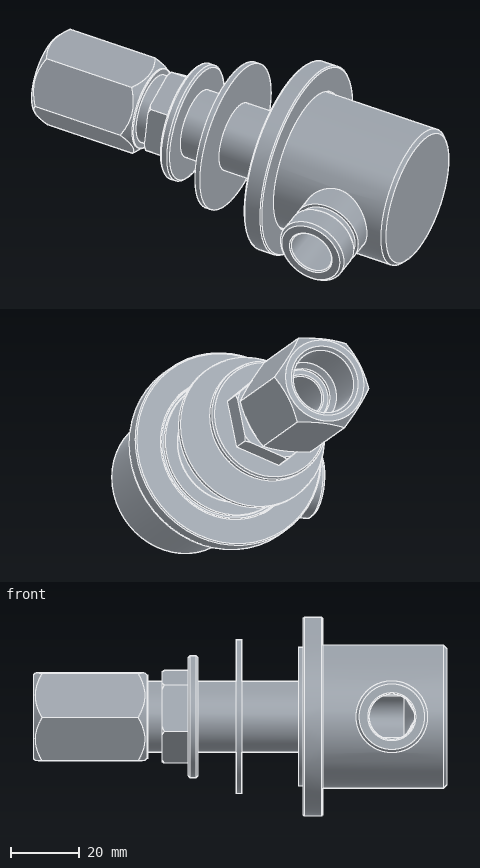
import cadquery as cq
import math

OVERALL_LENGTH = 120.51
OVERALL_WIDTH = 65.2

COUPLING_LENGTH = 33.45
COUPLING_FLATS = 25.5
COUPLING_TILT = 1.0
COUPLING_FACE_RADIUS = 12.2
COUPLING_MOUTH_RADIUS = 10.4
COUPLING_BORE_RADIUS = 9.4
COUPLING_BORE_DEPTH = 15.0
COUPLING_SEAT_RADIUS = 7.9
COUPLING_COLLAR_RADIUS = 12.2
COUPLING_COLLAR_LENGTH = 0.4

TUBE_RADIUS = 10.4
TUBE_BORE_RADIUS = 6.1
TUBE_BORE_CHAMFER = 0.4
TUBE_START = 18.0
TUBE_END = 92.0

LOCKNUT_START = 37.45
LOCKNUT_FLATS = 24.0
LOCKNUT_TILT = 18.0
LOCKNUT_CHAMFER = 0.7

CLAMP_WASHER_START = 45.0
CLAMP_WASHER_THICKNESS = 3.0
CLAMP_WASHER_RADIUS = 17.8
CLAMP_WASHER_CHAMFER = 0.6

FLAT_WASHER_START = 59.05
FLAT_WASHER_THICKNESS = 1.65
FLAT_WASHER_RADIUS = 22.45

GASKET_START = 77.2
GASKET_RADIUS = 20.25

PLATE_START = 78.5
PLATE_END = 84.3
PLATE_RADIUS = 29.0
PLATE_CLEARANCE = 0.4
PLATE_CHAMFER = 0.4

BODY_START = PLATE_START
BODY_RADIUS = 20.9
BODY_CHAMFER = 1.1
SPIGOT_RADIUS = 16.4
SPIGOT_SETBACK = 0.3
BODY_BORE_END = 108.0
DRILL_POINT_ANGLE = 118.0

OUTLET_X = 104.4
OUTLET_RADIUS = 10.45
OUTLET_SEAT = 15.0
OUTLET_END = OVERALL_WIDTH - PLATE_RADIUS
OUTLET_CHAMFER = 0.9
OUTLET_BORE_RADIUS = 6.6
OUTLET_BORE_CHAMFER = 0.4
GROOVE_RADIUS = 9.4
GROOVE_START = 26.35
GROOVE_WIDTH = 1.75
GROOVE_SLOPE = 1.05


def cylinder(radius, start, end):
    """Round bar along X."""
    return cq.Workplane("YZ", origin=(start, 0, 0)).circle(radius).extrude(end - start)


def ring(outer_radius, inner_radius, start, end):
    """Flat ring around the X axis."""
    return cylinder(outer_radius, start, end).cut(cylinder(inner_radius, start, end))


def revolve_about_x(points):
    """Solid of revolution from (x, radius) points."""
    return cq.Workplane("XY").polyline(points).close().revolve(360, (0, 0, 0), (1, 0, 0))


def hexagon(flats, tilt, start, end):
    """Hexagonal bar along X, turned about X from having corners on the Y axis."""
    corner_diameter = flats / math.cos(math.pi / 6)
    bar = cq.Workplane("YZ", origin=(start, 0, 0)).polygon(6, corner_diameter).extrude(end - start)
    return bar.rotate((0, 0, 0), (1, 0, 0), tilt)


def make_coupling():
    corner_radius = COUPLING_FLATS / 2 / math.cos(math.pi / 6)
    face_chamfer = corner_radius - COUPLING_FACE_RADIUS
    hex_end = COUPLING_LENGTH - COUPLING_COLLAR_LENGTH
    chamfered_bar = revolve_about_x([
        (0, 0),
        (0, COUPLING_FACE_RADIUS),
        (face_chamfer, corner_radius),
        (hex_end - face_chamfer, corner_radius),
        (hex_end, COUPLING_COLLAR_RADIUS),
        (COUPLING_LENGTH, COUPLING_COLLAR_RADIUS),
        (COUPLING_LENGTH, 0),
    ])
    outside = hexagon(COUPLING_FLATS, COUPLING_TILT, 0, COUPLING_LENGTH).intersect(chamfered_bar)
    mouth_chamfer = COUPLING_MOUTH_RADIUS - COUPLING_BORE_RADIUS
    seat_length = COUPLING_BORE_RADIUS - COUPLING_SEAT_RADIUS
    bore = revolve_about_x([
        (0, 0),
        (0, COUPLING_MOUTH_RADIUS),
        (mouth_chamfer, COUPLING_BORE_RADIUS),
        (COUPLING_BORE_DEPTH, COUPLING_BORE_RADIUS),
        (COUPLING_BORE_DEPTH + seat_length, COUPLING_SEAT_RADIUS),
        (TUBE_START, COUPLING_SEAT_RADIUS),
        (TUBE_START, TUBE_RADIUS),
        (COUPLING_LENGTH, TUBE_RADIUS),
        (COUPLING_LENGTH, 0),
    ])
    return outside.cut(bore)


def make_tube():
    tube = ring(TUBE_RADIUS, TUBE_BORE_RADIUS, TUBE_START, TUBE_END)
    bore_mouth = tube.faces("<X").edges(cq.selectors.RadiusNthSelector(0))
    return bore_mouth.chamfer(TUBE_BORE_CHAMFER)


def make_locknut():
    corner_radius = LOCKNUT_FLATS / 2 / math.cos(math.pi / 6)
    nut = hexagon(LOCKNUT_FLATS, LOCKNUT_TILT, LOCKNUT_START, CLAMP_WASHER_START)
    envelope = cylinder(corner_radius, LOCKNUT_START, CLAMP_WASHER_START)
    envelope = envelope.faces("<X").chamfer(LOCKNUT_CHAMFER)
    return nut.intersect(envelope).cut(cylinder(TUBE_RADIUS, LOCKNUT_START, CLAMP_WASHER_START))


def make_clamp_washer():
    end = CLAMP_WASHER_START + CLAMP_WASHER_THICKNESS
    disc = cylinder(CLAMP_WASHER_RADIUS, CLAMP_WASHER_START, end)
    disc = disc.edges().chamfer(CLAMP_WASHER_CHAMFER)
    return disc.cut(cylinder(TUBE_RADIUS, CLAMP_WASHER_START, end))


def make_flat_washer():
    end = FLAT_WASHER_START + FLAT_WASHER_THICKNESS
    return ring(FLAT_WASHER_RADIUS, TUBE_RADIUS, FLAT_WASHER_START, end)


def make_gasket():
    return ring(GASKET_RADIUS, SPIGOT_RADIUS, GASKET_START, BODY_START)


def make_plate():
    disc = cylinder(PLATE_RADIUS, PLATE_START, PLATE_END).edges().chamfer(PLATE_CHAMFER)
    return disc.cut(cylinder(BODY_RADIUS + PLATE_CLEARANCE, PLATE_START, PLATE_END))


def outlet_bar(radius, start, end):
    """Round bar on the outlet axis; distances are measured from the X axis toward -Y."""
    return cq.Workplane("XZ", origin=(OUTLET_X, -start, 0)).circle(radius).extrude(end - start)


def make_body():
    barrel = cylinder(BODY_RADIUS, BODY_START, OVERALL_LENGTH).faces(">X").chamfer(BODY_CHAMFER)
    spigot = cylinder(SPIGOT_RADIUS, GASKET_START + SPIGOT_SETBACK, BODY_START)
    point_length = TUBE_BORE_RADIUS / math.tan(math.radians(DRILL_POINT_ANGLE / 2))
    bore = revolve_about_x([
        (GASKET_START, 0),
        (GASKET_START, TUBE_RADIUS),
        (TUBE_END, TUBE_RADIUS),
        (TUBE_END, TUBE_BORE_RADIUS),
        (BODY_BORE_END, TUBE_BORE_RADIUS),
        (BODY_BORE_END + point_length, 0),
    ])
    outlet_bore = outlet_bar(OUTLET_BORE_RADIUS, 0, OUTLET_SEAT)
    outlet_socket = outlet_bar(OUTLET_RADIUS, OUTLET_SEAT, OUTLET_END)
    return barrel.union(spigot).cut(bore).cut(outlet_bore).cut(outlet_socket)


def make_outlet():
    groove_end = GROOVE_START + GROOVE_WIDTH
    profile = [
        (OUTLET_BORE_RADIUS, OUTLET_SEAT),
        (OUTLET_RADIUS, OUTLET_SEAT),
        (OUTLET_RADIUS, GROOVE_START),
        (GROOVE_RADIUS, GROOVE_START),
        (GROOVE_RADIUS, groove_end),
        (OUTLET_RADIUS, groove_end + GROOVE_SLOPE),
        (OUTLET_RADIUS, OUTLET_END - OUTLET_CHAMFER),
        (OUTLET_RADIUS - OUTLET_CHAMFER, OUTLET_END),
        (OUTLET_BORE_RADIUS + OUTLET_BORE_CHAMFER, OUTLET_END),
        (OUTLET_BORE_RADIUS, OUTLET_END - OUTLET_BORE_CHAMFER),
    ]
    points = [(OUTLET_X + radius, -distance) for radius, distance in profile]
    outline = cq.Workplane("XY").polyline(points).close()
    return outline.revolve(360, (OUTLET_X, 0, 0), (OUTLET_X, 1, 0))


coupling = make_coupling()
tube = make_tube()
locknut = make_locknut()
clamp_washer = make_clamp_washer()
flat_washer = make_flat_washer()
gasket = make_gasket()
plate = make_plate()
body = make_body()
outlet = make_outlet()

result = cq.Compound.makeCompound([
    coupling.val(),
    tube.val(),
    locknut.val(),
    clamp_washer.val(),
    flat_washer.val(),
    gasket.val(),
    plate.val(),
    body.val(),
    outlet.val(),
])